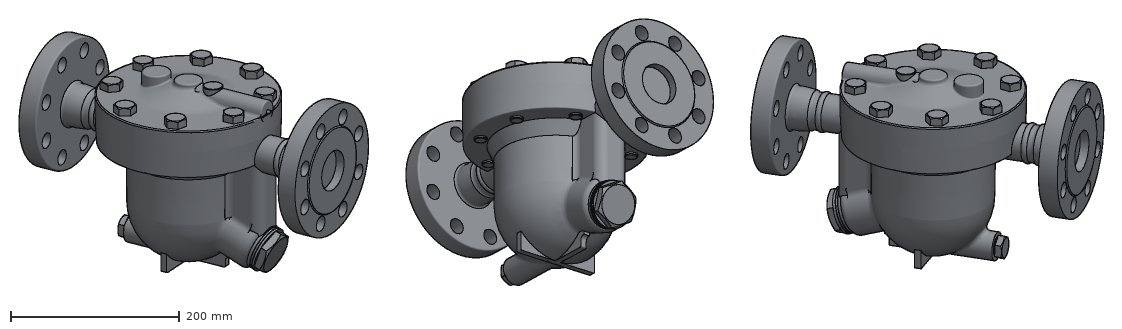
import cadquery as cq
import math


FACE_TO_FACE = 390.0
PIPE_MID_X = 7.5

FLANGE_DIA = 165.0
FLANGE_THICKNESS = 24.6
FLANGE_BACK_FILLET = 2.2
RAISED_FACE_DIA = 106.0
RAISED_FACE_ROOT_DIA = 109.0
RAISED_FACE_HEIGHT = 1.5
FLANGE_BOLT_CIRCLE = 130.0
FLANGE_HOLE_DIA = 19.0
BOLT_COUNT = 8
BORE_DIA = 50.0
BORE_DEPTH = 11.0

PIPE_DIA = 46.0
HUB_DIA = 53.2
HUB_LENGTH = 26.3
HUB_MID_DIA = 52.8
HUB_ROOT_DIA = 58.0
HUB_ROOT_LENGTH = 4.0
HUB_SHOULDER_DIA = 49.8
HUB_TAPER_LENGTH = 4.7
BEAD_DIA = 49.5
BEAD_LENGTH = 7.2
BEAD_GAP = 4.5

COVER_DIA = 222.0
COVER_TOP_Z = 52.5
SPLIT_Z = 25.0
BODY_FLANGE_BOTTOM_Z = -8.0
BODY_FLANGE_DRAFT = 2.0
RIM_FILLET = 1.5
NECK_TOP_RADIUS = 82.0
NECK_BOTTOM_Z = -27.0
POT_TOP_RADIUS = 74.0
DOME_RADIUS = 73.4
BOTTOM_Z = -160.0
DOME_CENTER_Z = BOTTOM_Z + DOME_RADIUS

COVER_BOLT_CIRCLE = 185.0
COVER_BOLT_DIA = 16.0
COVER_BOLT_FLATS = 24.0
COVER_BOLT_HEAD = 10.0
COVER_BOLT_TIP = 3.0
COVER_BOLT_TIP_CHAMFER = 1.0

CROWN_OUTER_RADIUS = 63.5
CROWN_CORNER_RADIUS = 58.0
CROWN_TOP_RADIUS = 22.0
CROWN_TOP_Z = 63.0
BOSS_TOP_Z = 71.0
BOSS_FILLET = 2.0
CENTER_BOSS_DIA = 34.0
SIDE_BOSS_DIA = 35.0
SIDE_BOSS_X = -45.0
SIDE_BOSS_FOOT_FILLET = 2.0
SMALL_BOSS_DIA = 24.0
SMALL_BOSS_X = 34.5
SMALL_BOSS_CHAMFER = 0.8

RIDGE_RADIUS = 14.0
RIDGE_TOP_Z = 68.8
RIDGE_FOOT_FILLET = 4.4
RIDGE_END_FILLET = 2.0
RIDGE_END_X = 110.8
PEG_DIA = 5.0
PEG_END_X = 114.4

COLUMN_END_X = 115.0
COLUMN_HALF_WIDTH = 22.0
COLUMN_CORNER_RADIUS = 13.2
COLUMN_BLEND_RADIUS = 8.8
COLUMN_TOP_X = 107.5
COLUMN_SHOULDER_DROP = 11.0

NOZZLE_TILT = 20.0
NOZZLE_FACE_X = 122.5
NOZZLE_FACE_Z = -128.5
NOZZLE_DIA = 67.0
NOZZLE_COLLAR_DIA = 58.0
NOZZLE_PLUG_FLATS = 50.0
NOZZLE_PLUG_HEIGHT = 10.5
NOZZLE_COLLAR_LENGTH = 10.5
NOZZLE_SHOULDER_LENGTH = 7.5
NOZZLE_LENGTH = 90.0
NOZZLE_BLEND = 8.0
NOZZLE_COLUMN_BLEND = 10.0
NOZZLE_COLUMN_BLEND_END = 33.0
GASKET_DIA = 56.0
GASKET_START = 14.0
GASKET_END = 17.0

DRAIN_Z = -142.0
DRAIN_DIA = 35.0
DRAIN_END_X = -80.2
DRAIN_NECK_DIA = 24.0
DRAIN_NECK_LENGTH = 2.0
DRAIN_PLUG_FLATS = 26.0
DRAIN_PLUG_HEIGHT = 9.0
DRAIN_BLEND = 5.0

FOOT_THICKNESS = 8.0
FOOT_HALF_WIDTH = 55.0
FOOT_TOP_Z = -120.0
FOOT_CORNER = 2.0
FRONT_FOOT_X = 54.3
FRONT_FOOT_BLEND = 6.0
FRONT_FOOT_BLEND_Z = -151.5


HEX_FACE_RATIO = 0.95
HEX_CHAMFER_ANGLE = math.radians(30)
MID_ARC = 1 - math.sqrt(0.5)
MARGIN = 1.0


def hex_head(flats, height):
    """Hexagon along +Z from z = 0 with a corner on X and its top corners turned off at 30 degrees."""
    corner_radius = flats / 2 / math.cos(math.pi / 6)
    chamfer_width = corner_radius - HEX_FACE_RATIO * flats / 2
    chamfer_height = chamfer_width * math.tan(HEX_CHAMFER_ANGLE)
    head = cq.Workplane("XY").polygon(6, 2 * corner_radius).extrude(height)
    envelope = cq.Workplane("XY").circle(corner_radius).extrude(height)
    envelope = envelope.faces(">Z").edges().chamfer(chamfer_height, chamfer_width)
    return head.intersect(envelope)


def make_body_flange():
    """Rim that is round at the cover and slightly oval underneath, narrower along X."""
    rim_radius = COVER_DIA / 2
    flange = (
        cq.Workplane("XY", origin=(0, 0, SPLIT_Z))
        .ellipse(rim_radius, rim_radius)
        .workplane(offset=BODY_FLANGE_BOTTOM_Z - SPLIT_Z)
        .ellipse(rim_radius - BODY_FLANGE_DRAFT, rim_radius)
        .loft(combine=True)
    )
    return flange.faces("<Z").edges().fillet(RIM_FILLET)


def make_pot():
    """Neck, side wall and round bottom as one revolved body."""
    dome_mid = DOME_RADIUS * math.sqrt(0.5)
    profile = (
        cq.Workplane("XZ")
        .moveTo(0, BOTTOM_Z)
        .threePointArc((dome_mid, DOME_CENTER_Z - dome_mid), (DOME_RADIUS, DOME_CENTER_Z))
        .lineTo(POT_TOP_RADIUS, NECK_BOTTOM_Z)
        .lineTo(NECK_TOP_RADIUS, BODY_FLANGE_BOTTOM_Z)
        .lineTo(0, BODY_FLANGE_BOTTOM_Z)
        .close()
    )
    return profile.revolve(360, (0, 0, 0), (0, 1, 0))


def make_drain_boss():
    return (
        cq.Workplane("YZ", origin=(DRAIN_END_X, 0, DRAIN_Z))
        .circle(DRAIN_DIA / 2)
        .extrude(-DRAIN_END_X)
    )


def make_drain_plug():
    neck = (
        cq.Workplane("YZ", origin=(DRAIN_END_X, 0, DRAIN_Z))
        .circle(DRAIN_NECK_DIA / 2)
        .extrude(-DRAIN_NECK_LENGTH)
    )
    head = hex_head(DRAIN_PLUG_FLATS, DRAIN_PLUG_HEIGHT).rotate((0, 0, 0), (0, 1, 0), -90)
    return neck.union(head.translate((DRAIN_END_X - DRAIN_NECK_LENGTH, 0, DRAIN_Z)))


def place_on_nozzle(solid):
    """Turn a solid built along +Z so that its z = 0 plane becomes the plug face of the nozzle."""
    turned = solid.rotate((0, 0, 0), (0, 1, 0), 90 + NOZZLE_TILT)
    return turned.translate((NOZZLE_FACE_X, 0, NOZZLE_FACE_Z))


def make_nozzle():
    """Tilted strainer nozzle: barrel, rounded shoulder and collar."""
    barrel_radius = NOZZLE_DIA / 2
    collar_radius = NOZZLE_COLLAR_DIA / 2
    collar_end = -NOZZLE_PLUG_HEIGHT
    shoulder_end = collar_end - NOZZLE_COLLAR_LENGTH
    shoulder_start = shoulder_end - NOZZLE_SHOULDER_LENGTH
    profile = (
        cq.Workplane("XZ")
        .moveTo(0, -NOZZLE_LENGTH)
        .lineTo(barrel_radius, -NOZZLE_LENGTH)
        .lineTo(barrel_radius, shoulder_start)
        .tangentArcPoint((collar_radius, shoulder_end), relative=False)
        .lineTo(collar_radius, -GASKET_END)
        .lineTo(GASKET_DIA / 2, -GASKET_END)
        .lineTo(GASKET_DIA / 2, -GASKET_START)
        .lineTo(collar_radius, -GASKET_START)
        .lineTo(collar_radius, collar_end)
        .lineTo(0, collar_end)
        .close()
    )
    return place_on_nozzle(profile.revolve(360, (0, 0, 0), (0, 1, 0)))


def make_nozzle_plug():
    head = hex_head(NOZZLE_PLUG_FLATS, NOZZLE_PLUG_HEIGHT).translate((0, 0, -NOZZLE_PLUG_HEIGHT))
    return place_on_nozzle(head)


def blend_points(wall_radius, half_width, blend_radius):
    """Concave arc from a round wall about the origin to a flank at y = half_width, as three points."""
    reach = wall_radius + blend_radius
    center_y = half_width + blend_radius
    center_x = math.sqrt(reach**2 - center_y**2)
    wall_angle = math.atan2(center_y, center_x)
    mid_angle = (wall_angle + math.pi / 2) / 2
    on_wall = (wall_radius * math.cos(wall_angle), wall_radius * math.sin(wall_angle))
    middle = (
        center_x - blend_radius * math.cos(mid_angle),
        center_y - blend_radius * math.sin(mid_angle),
    )
    on_flank = (center_x, half_width)
    return on_wall, middle, on_flank


def make_blended_web(points, end_x, length):
    """Prism along +Z: flanks running from two mirrored wall blends out to x = end_x."""
    on_wall, middle, on_flank = points
    return (
        cq.Workplane("XY")
        .moveTo(0, on_wall[1])
        .lineTo(*on_wall)
        .threePointArc(middle, on_flank)
        .lineTo(end_x, on_flank[1])
        .lineTo(end_x, -on_flank[1])
        .lineTo(on_flank[0], -on_flank[1])
        .threePointArc((middle[0], -middle[1]), (on_wall[0], -on_wall[1]))
        .lineTo(0, -on_wall[1])
        .close()
        .extrude(length)
    )


def make_column():
    """Outlet riser on the +X side, blended into the pot wall and ending on the nozzle axis."""
    points = blend_points(POT_TOP_RADIUS, COLUMN_HALF_WIDTH, COLUMN_BLEND_RADIUS)
    height = BODY_FLANGE_BOTTOM_Z - NOZZLE_FACE_Z
    column = make_blended_web(points, COLUMN_END_X, height).edges("|Z and >X").fillet(COLUMN_CORNER_RADIUS)
    column = column.translate((0, 0, NOZZLE_FACE_Z))
    shoulder = (
        cq.Workplane("XZ")
        .moveTo(COLUMN_TOP_X, BODY_FLANGE_BOTTOM_Z)
        .lineTo(COLUMN_END_X, BODY_FLANGE_BOTTOM_Z - COLUMN_SHOULDER_DROP)
        .lineTo(COLUMN_END_X, BODY_FLANGE_BOTTOM_Z)
        .close()
        .extrude(COLUMN_HALF_WIDTH, both=True)
    )
    below_nozzle = place_on_nozzle(
        cq.Workplane("XY").box(COVER_DIA, COVER_DIA, 2 * COVER_DIA, centered=(False, True, True))
    )
    return column.cut(shoulder).cut(below_nozzle)


def make_nozzle_column_blend():
    """Concave fillets along the nozzle axis between the barrel and the flanks of the column."""
    points = blend_points(NOZZLE_DIA / 2, COLUMN_HALF_WIDTH, NOZZLE_COLUMN_BLEND)
    length = NOZZLE_LENGTH - NOZZLE_COLUMN_BLEND_END
    web = make_blended_web(points, NOZZLE_DIA / 2, length)
    upright = web.rotate((0, 0, 0), (0, 0, 1), 180).translate((0, 0, -NOZZLE_LENGTH))
    return place_on_nozzle(upright)


def make_feet():
    """Cross plate under the pot plus a web running forward to the nozzle."""
    cross = cq.Workplane("XY").box(
        FOOT_THICKNESS,
        2 * FOOT_HALF_WIDTH,
        FOOT_TOP_Z - BOTTOM_Z,
        centered=(True, True, False),
    )
    cross = cross.edges("|X and <Z").fillet(FOOT_CORNER).translate((0, 0, BOTTOM_Z))
    blend_mid = FRONT_FOOT_BLEND * MID_ARC
    web = (
        cq.Workplane("XZ")
        .moveTo(0, BOTTOM_Z)
        .lineTo(FRONT_FOOT_X, BOTTOM_Z)
        .lineTo(FRONT_FOOT_X, FRONT_FOOT_BLEND_Z)
        .threePointArc(
            (FRONT_FOOT_X + blend_mid, FRONT_FOOT_BLEND_Z + FRONT_FOOT_BLEND - blend_mid),
            (FRONT_FOOT_X + FRONT_FOOT_BLEND, FRONT_FOOT_BLEND_Z + FRONT_FOOT_BLEND),
        )
        .lineTo(FRONT_FOOT_X + FRONT_FOOT_BLEND, FOOT_TOP_Z)
        .lineTo(0, FOOT_TOP_Z)
        .close()
        .extrude(FOOT_THICKNESS / 2, both=True)
    )
    lower_corner = cq.selectors.NearestToPointSelector((FRONT_FOOT_X, 0, BOTTOM_Z))
    web = web.edges(lower_corner).fillet(FOOT_CORNER)
    return cross.union(web)


def make_cover():
    """Upper cover face: shallow crown, three bosses and the blended passage ridge."""
    boss_radius = CENTER_BOSS_DIA / 2
    flare = CROWN_TOP_RADIUS - boss_radius
    flare_mid = flare * MID_ARC
    slope = math.atan2(CROWN_TOP_Z - COVER_TOP_Z, CROWN_CORNER_RADIUS - CROWN_TOP_RADIUS)
    toe_length = CROWN_OUTER_RADIUS - CROWN_CORNER_RADIUS
    toe_radius = toe_length / math.tan(slope / 2)
    toe_mid = (
        CROWN_OUTER_RADIUS - toe_radius * math.sin(slope / 2),
        COVER_TOP_Z + toe_radius * (1 - math.cos(slope / 2)),
    )
    toe_end = (
        CROWN_CORNER_RADIUS - toe_length * math.cos(slope),
        COVER_TOP_Z + toe_length * math.sin(slope),
    )
    profile = (
        cq.Workplane("XZ")
        .moveTo(0, SPLIT_Z)
        .lineTo(COVER_DIA / 2, SPLIT_Z)
        .lineTo(COVER_DIA / 2, COVER_TOP_Z)
        .lineTo(CROWN_OUTER_RADIUS, COVER_TOP_Z)
        .threePointArc(toe_mid, toe_end)
        .lineTo(CROWN_TOP_RADIUS, CROWN_TOP_Z)
        .threePointArc(
            (boss_radius + flare_mid, CROWN_TOP_Z + flare_mid),
            (boss_radius, CROWN_TOP_Z + flare),
        )
        .lineTo(boss_radius, BOSS_TOP_Z)
        .lineTo(0, BOSS_TOP_Z)
        .close()
    )
    cover = profile.revolve(360, (0, 0, 0), (0, 1, 0))
    cover = cover.faces(">Z").edges().fillet(BOSS_FILLET)

    side_boss = make_cover_boss(SIDE_BOSS_X, SIDE_BOSS_DIA)
    side_boss = side_boss.faces(">Z").edges().fillet(BOSS_FILLET)
    cover = cover.union(side_boss)
    side_boss_foot = cq.selectors.BoxSelector(
        (SIDE_BOSS_X - SIDE_BOSS_DIA, -SIDE_BOSS_DIA, COVER_TOP_Z - MARGIN),
        (SIDE_BOSS_X + SIDE_BOSS_DIA / 2 + MARGIN, SIDE_BOSS_DIA, CROWN_TOP_Z),
    )
    cover = cover.edges(side_boss_foot).edges("not %CIRCLE").fillet(SIDE_BOSS_FOOT_FILLET)

    cover = cover.union(make_ridge())
    ridge_foot = cq.selectors.BoxSelector(
        (CROWN_TOP_RADIUS - 3 * MARGIN, -RIDGE_RADIUS - MARGIN, COVER_TOP_Z - MARGIN),
        (RIDGE_END_X - MARGIN, RIDGE_RADIUS + MARGIN, CROWN_TOP_Z + MARGIN),
    )
    cover = cover.edges(ridge_foot).fillet(RIDGE_FOOT_FILLET)

    small_boss = make_cover_boss(SMALL_BOSS_X, SMALL_BOSS_DIA)
    cover = cover.union(small_boss.faces(">Z").edges().chamfer(SMALL_BOSS_CHAMFER))
    return cover.cut(make_rim_round()).union(make_peg())


def make_rim_round():
    """Ring of waste metal whose removal rounds the top rim of the cover."""
    rim_radius = COVER_DIA / 2
    arc_mid = RIM_FILLET * MID_ARC
    return (
        cq.Workplane("XZ")
        .moveTo(rim_radius, COVER_TOP_Z)
        .lineTo(rim_radius - RIM_FILLET, COVER_TOP_Z)
        .threePointArc(
            (rim_radius - arc_mid, COVER_TOP_Z - arc_mid), (rim_radius, COVER_TOP_Z - RIM_FILLET)
        )
        .close()
        .revolve(360, (0, 0, 0), (0, 1, 0))
    )


def make_cover_boss(x, diameter):
    return (
        cq.Workplane("XY", origin=(x, 0, SPLIT_Z))
        .circle(diameter / 2)
        .extrude(BOSS_TOP_Z - SPLIT_Z)
    )


def make_ridge():
    """Round passage along +X, sunk into the cover and ending at its rim."""
    return (
        cq.Workplane("YZ", origin=(0, 0, RIDGE_TOP_Z - RIDGE_RADIUS))
        .circle(RIDGE_RADIUS)
        .extrude(RIDGE_END_X)
        .faces(">X")
        .edges()
        .fillet(RIDGE_END_FILLET)
    )


def make_peg():
    """Short rounded peg standing out of the end of the ridge."""
    return (
        cq.Workplane("YZ", origin=(0, 0, COVER_TOP_Z + PEG_DIA / 2))
        .circle(PEG_DIA / 2)
        .extrude(PEG_END_X)
        .faces(">X")
        .edges()
        .fillet(PEG_DIA / 4)
    )


def make_cover_bolt():
    """Cover bolt on its own axis: hexagon head above the cover, shank tip below the body flange."""
    head = hex_head(COVER_BOLT_FLATS, COVER_BOLT_HEAD).translate((0, 0, COVER_TOP_Z))
    tip_z = BODY_FLANGE_BOTTOM_Z - COVER_BOLT_TIP
    shank = (
        cq.Workplane("XY", origin=(0, 0, tip_z))
        .circle(COVER_BOLT_DIA / 2)
        .extrude(COVER_TOP_Z - tip_z)
        .faces("<Z")
        .edges()
        .chamfer(COVER_BOLT_TIP_CHAMFER)
    )
    return head.union(shank)


def make_pipe_end():
    """Flanged pipe along +X, from the pot axis to the flange face."""
    face = FACE_TO_FACE / 2
    plate_front = face - RAISED_FACE_HEIGHT
    plate_back = plate_front - FLANGE_THICKNESS
    hub_start = plate_back - HUB_ROOT_LENGTH
    shoulder = plate_back - HUB_LENGTH
    taper_end = shoulder - HUB_TAPER_LENGTH
    bead_start = taper_end - BEAD_GAP
    bead_end = bead_start - BEAD_LENGTH
    pipe_radius = PIPE_DIA / 2
    profile = (
        cq.Workplane("XY")
        .moveTo(0, 0)
        .lineTo(0, pipe_radius)
        .lineTo(bead_end, pipe_radius)
        .threePointArc(((bead_start + bead_end) / 2, BEAD_DIA / 2), (bead_start, pipe_radius))
        .lineTo(taper_end, pipe_radius)
        .tangentArcPoint((shoulder, HUB_SHOULDER_DIA / 2), relative=False)
        .threePointArc(((shoulder + hub_start) / 2, HUB_MID_DIA / 2), (hub_start, HUB_DIA / 2))
        .tangentArcPoint((plate_back, HUB_ROOT_DIA / 2), relative=False)
        .lineTo(plate_back, FLANGE_DIA / 2)
        .lineTo(plate_front, FLANGE_DIA / 2)
        .lineTo(plate_front, RAISED_FACE_ROOT_DIA / 2)
        .lineTo(face, RAISED_FACE_DIA / 2)
        .lineTo(face, 0)
        .close()
    )
    pipe = profile.revolve(360, (0, 0, 0), (1, 0, 0))
    back_rim = cq.selectors.BoxSelector(
        (plate_back - MARGIN, -FLANGE_DIA, -FLANGE_DIA),
        (plate_back + MARGIN, FLANGE_DIA, FLANGE_DIA),
    )
    pipe = pipe.edges("%CIRCLE").edges(back_rim)
    pipe = pipe.edges(cq.selectors.RadiusNthSelector(-1)).fillet(FLANGE_BACK_FILLET)
    holes = (
        cq.Workplane("YZ", origin=(plate_back, 0, 0))
        .polarArray(FLANGE_BOLT_CIRCLE / 2, 180 / BOLT_COUNT, 360, BOLT_COUNT)
        .circle(FLANGE_HOLE_DIA / 2)
        .extrude(FLANGE_THICKNESS)
    )
    bore = cq.Workplane("YZ", origin=(face, 0, 0)).circle(BORE_DIA / 2).extrude(-BORE_DEPTH)
    return pipe.cut(holes).cut(bore)


body = make_pot().union(make_drain_boss())
drain_seam = cq.selectors.BoxSelector(
    (-POT_TOP_RADIUS, -DRAIN_DIA, BOTTOM_Z), (0, DRAIN_DIA, DRAIN_Z + DRAIN_DIA)
)
body = body.edges(drain_seam).edges("%BSPLINE").fillet(DRAIN_BLEND)
body = body.union(make_nozzle())
nozzle_seam = cq.selectors.BoxSelector(
    (POT_TOP_RADIUS / 2, -NOZZLE_DIA, BOTTOM_Z), (POT_TOP_RADIUS, NOZZLE_DIA, NECK_BOTTOM_Z - MARGIN)
)
body = body.edges(nozzle_seam).edges("%BSPLINE").fillet(NOZZLE_BLEND)
body = body.union(make_column()).union(make_nozzle_column_blend())
body = body.union(make_drain_plug()).union(make_nozzle_plug()).union(make_feet())

body = body.union(make_body_flange()).union(make_cover())
cover_bolt = make_cover_bolt().rotate((0, 0, 0), (0, 0, 1), 180 / BOLT_COUNT)
cover_bolt = cover_bolt.translate((COVER_BOLT_CIRCLE / 2, 0, 0))
bolt_pitch = 360 / BOLT_COUNT
for index in range(BOLT_COUNT):
    body = body.union(cover_bolt.rotate((0, 0, 0), (0, 0, 1), (index + 0.5) * bolt_pitch))

outlet = make_pipe_end()
inlet = outlet.mirror("YZ")
for pipe_end in (inlet, outlet):
    body = body.union(pipe_end.translate((PIPE_MID_X, 0, 0)))

result = body